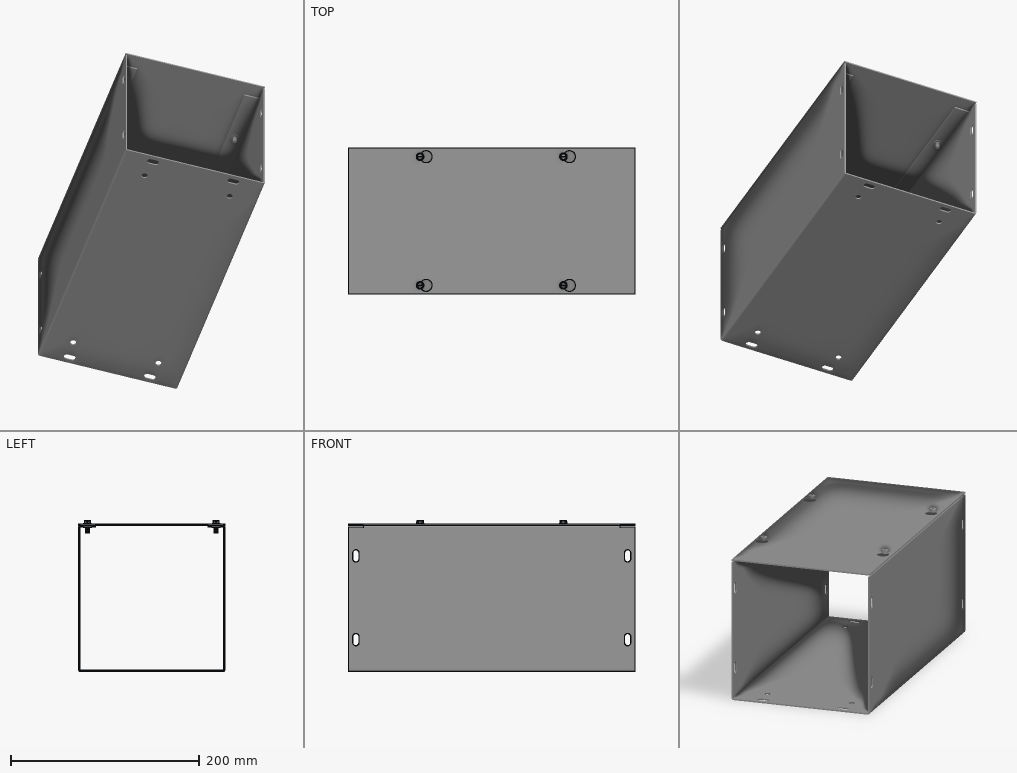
import cadquery as cq
import math

length = 304.8
width = 155.5
channel_height = 155.5
sheet = 1.5
bend_radius = 2.0
flange_width = 17.7
flange_setback = 16.0

slot_width = 6.5
slot_length = 12.8
wall_slot_end_distance = 8.0
wall_slot_spacing = 89.0
floor_slot_end_distance = 7.5
floor_slot_spacing = 89.5
floor_hole_diameter = 6.5
floor_hole_end_distance = 28.5
floor_hole_spacing = 95.0

cover_top = channel_height + sheet
keyhole_diameter = 12.8
keyhole_slot_width = 6.5
keyhole_offset = 6.5

screw_spacing_x = 152.5
screw_spacing_y = 137.0
head_height = 3.7
head_across_flats = 6.5
head_corner_diameter = head_across_flats / math.cos(math.pi / 6)
head_crown_diameter = 5.8
head_crown_height = 0.3
washer_diameter = 8.0
washer_thickness = 0.5
driver_slot_width = 1.0
driver_slot_depth = 1.5
shank_diameter = 4.5
thread_root_diameter = 4.0
thread_pitch = 0.8
thread_count = 6
shank_length = 9.5

collar_diameter = 8.8
collar_height = 0.5

screw_places = [
    (side_x * screw_spacing_x / 2, side_y * screw_spacing_y / 2)
    for side_x in (-1, 1)
    for side_y in (-1, 1)
]


def bent_shell():
    """Hollow box with rounded bends, open at both X ends and along the top middle."""
    outer = (
        cq.Workplane("XY").box(length, width, channel_height, centered=(True, True, False))
        .edges("|X").fillet(bend_radius)
    )
    inner = (
        cq.Workplane("XY").workplane(offset=sheet)
        .box(length, width - 2 * sheet, channel_height - 2 * sheet, centered=(True, True, False))
        .edges("|X").fillet(bend_radius - sheet)
    )
    top_opening = (
        cq.Workplane("XY").workplane(offset=channel_height / 2)
        .box(length, width - 2 * flange_width, channel_height, centered=(True, True, False))
    )
    return outer.cut(inner).cut(top_opening)


def end_blocks(bottom, height, depth):
    """Blocks over the stretches of the box ends that have no flange."""
    return (
        cq.Workplane("XY").workplane(offset=bottom)
        .pushPoints([(side * (length - flange_setback) / 2, 0) for side in (-1, 1)])
        .rect(flange_setback, depth).extrude(height)
    )


def trim_flange_ends(shell):
    """Replace the bends near both ends by straight wall tops just below the flanges."""
    bend_bottom = channel_height - bend_radius
    straight_height = bend_radius - sheet
    wall_tops = (
        end_blocks(bend_bottom, straight_height, width)
        .cut(end_blocks(bend_bottom, straight_height, width - 2 * sheet))
    )
    return shell.cut(end_blocks(bend_bottom, bend_radius, width)).union(wall_tops)


def wall_slots():
    """Upright slots through both side walls."""
    slot_x = length / 2 - wall_slot_end_distance
    return (
        cq.Workplane("XZ").workplane(offset=-width / 2)
        .center(0, cover_top / 2)
        .rect(2 * slot_x, wall_slot_spacing, forConstruction=True).vertices()
        .slot2D(slot_length, slot_width, 90).extrude(width)
    )


def floor_openings():
    """Slots across the floor at both ends, each with a round hole further in."""
    slot_x = length / 2 - floor_slot_end_distance
    hole_x = length / 2 - floor_hole_end_distance
    slots = (
        cq.Workplane("XY")
        .rect(2 * slot_x, floor_slot_spacing, forConstruction=True).vertices()
        .slot2D(slot_length, slot_width, 90).extrude(sheet)
    )
    holes = (
        cq.Workplane("XY")
        .rect(2 * hole_x, floor_hole_spacing, forConstruction=True).vertices()
        .circle(floor_hole_diameter / 2).extrude(sheet)
    )
    return slots.union(holes)


def make_channel():
    flange_bottom = channel_height - sheet
    collars = (
        cq.Workplane("XY").workplane(offset=flange_bottom - collar_height)
        .pushPoints(screw_places).circle(collar_diameter / 2).extrude(collar_height)
    )
    screw_holes = (
        cq.Workplane("XY").workplane(offset=flange_bottom - collar_height)
        .pushPoints(screw_places).circle(shank_diameter / 2).extrude(collar_height + sheet)
    )
    return (
        trim_flange_ends(bent_shell()).cut(wall_slots()).cut(floor_openings())
        .union(collars).cut(screw_holes)
    )


def keyhole(x, y):
    """Round entry hole with a narrow slot that runs in -X to the screw."""
    plane = cq.Workplane("XY").workplane(offset=channel_height)
    entry = plane.center(x + keyhole_offset, y).circle(keyhole_diameter / 2).extrude(sheet)
    neck = (
        plane.center(x + keyhole_offset / 2, y)
        .slot2D(keyhole_offset + keyhole_slot_width, keyhole_slot_width).extrude(sheet)
    )
    return entry.union(neck)


def make_cover():
    cover = (
        cq.Workplane("XY").workplane(offset=channel_height)
        .box(length, width, sheet, centered=(True, True, False))
    )
    for x, y in screw_places:
        cover = cover.cut(keyhole(x, y))
    return cover


def threaded_shank():
    """Shank hanging below Z = 0, with ring-shaped threads up from its tip."""
    crest = shank_diameter / 2
    root = thread_root_diameter / 2
    profile = cq.Workplane("XZ").moveTo(0, 0).lineTo(0, -shank_length).lineTo(root, -shank_length)
    for turn in range(thread_count):
        turn_bottom = turn * thread_pitch - shank_length
        profile = (
            profile.lineTo(crest, turn_bottom + thread_pitch / 2)
            .lineTo(root, turn_bottom + thread_pitch)
        )
    thread_top = thread_count * thread_pitch - shank_length
    return (
        profile.lineTo(crest, thread_top + thread_pitch / 2).lineTo(crest, 0)
        .close().revolve(360, (0, 0, 0), (0, 1, 0))
    )


def make_screw(x, y):
    """Screw seated on the cover, its driver slot along X."""
    seat = cq.Workplane("XY", origin=(x, y, cover_top))
    hexagon = seat.polygon(6, head_corner_diameter).extrude(head_height)
    crown_rim = (head_corner_diameter - head_crown_diameter) / 2
    crown = (
        seat.circle(head_corner_diameter / 2).extrude(head_height)
        .faces(">Z").edges().chamfer(head_crown_height, crown_rim)
    )
    washer = seat.circle(washer_diameter / 2).extrude(washer_thickness)
    driver_slot = (
        seat.workplane(offset=head_height - driver_slot_depth)
        .rect(head_corner_diameter, driver_slot_width).extrude(driver_slot_depth)
    )
    shank = threaded_shank().translate((x, y, cover_top))
    return hexagon.intersect(crown).union(washer).cut(driver_slot).union(shank)


channel = make_channel()
cover = make_cover()
screws = [make_screw(x, y) for x, y in screw_places]

result = cq.Compound.makeCompound(
    [channel.val(), cover.val(), *[screw.val() for screw in screws]]
)